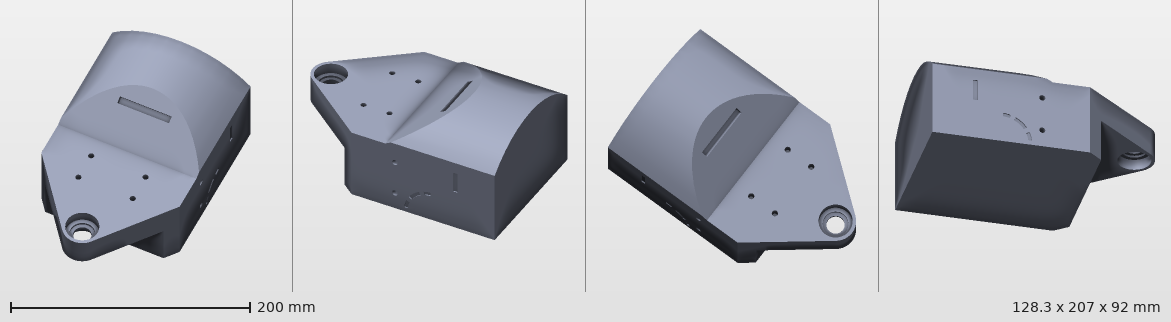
import cadquery as cq
import math


width = 128.3
length = 207.0
height = 92.0
deck_height = 64.0
side_height = 66.8
shoulder_y = 54.0
slope_foot_y = 86.0
slope_angle = 29.6

nose_radius = 17.2
arm_thickness = 25.7
step_y = 42.2

bore_diameter = 15.3
shoulder_diameter = 21.5
seat_diameter = 28.5
seat_depth = 9.7
shoulder_depth = 11.5

hole_diameter = 5.2
deck_hole_depth = 10.3
deck_hole_spacing_x = 50.5
deck_hole_rows_y = (44.5, 69.1)
cross_hole_y = 95.2
cross_hole_heights = (15.7, 47.4)

slope_slot_length = 48.0
slope_slot_width = 6.0
slope_slot_depth = 4.5
slope_slot_y = 119.0

mark_depth = 1.0
bar_width = 4.1
bar_height = 19.5
bar_y = 152.7
bar_z = 46.5
arc_center_y = 130.0
arc_center_z = 1.7
arc_inner_radius = 22.8
arc_outer_radius = 26.0
arc_spans = ((6.0, 23.5), (34.0, 62.5), (73.0, 87.5))

half_width = width / 2
back_y = length - nose_radius
arm_bottom = deck_height - arm_thickness


def plan_outline():
    """Plan of the body: a rectangle whose tapered front runs tangent into the round nose."""
    shoulder_distance = math.hypot(half_width, shoulder_y)
    tangent_angle = math.atan2(shoulder_y, half_width) - math.acos(nose_radius / shoulder_distance)
    tangent_x = nose_radius * math.cos(tangent_angle)
    tangent_y = nose_radius * math.sin(tangent_angle)
    return (
        cq.Workplane("XY")
        .moveTo(-half_width, back_y)
        .lineTo(-half_width, shoulder_y)
        .lineTo(-tangent_x, tangent_y)
        .threePointArc((0, -nose_radius), (tangent_x, tangent_y))
        .lineTo(half_width, shoulder_y)
        .lineTo(half_width, back_y)
        .close()
    )


def roof_prism():
    """Cross-section with the curved roof, running the full length."""
    return (
        cq.Workplane("XZ", origin=(0, back_y, 0))
        .moveTo(-half_width, 0)
        .lineTo(-half_width, side_height)
        .threePointArc((0, height), (half_width, side_height))
        .lineTo(half_width, 0)
        .close()
        .extrude(length)
    )


def side_prism():
    """Side profile with the sloped face, the deck and the arm, running the full width."""
    slope_run = (height - deck_height) / math.tan(math.radians(slope_angle))
    return (
        cq.Workplane("YZ")
        .moveTo(back_y, 0)
        .lineTo(back_y, height)
        .lineTo(slope_foot_y + slope_run, height)
        .lineTo(slope_foot_y, deck_height)
        .lineTo(-nose_radius, deck_height)
        .lineTo(-nose_radius, arm_bottom)
        .lineTo(step_y, arm_bottom)
        .lineTo(step_y, 0)
        .close()
        .extrude(half_width, both=True)
    )


def cylinder(diameter, bottom, top):
    """Cylinder on the bearing axis between two heights."""
    return cq.Workplane("XY", origin=(0, 0, bottom)).circle(diameter / 2).extrude(top - bottom)


def bearing_bore():
    bore = cylinder(bore_diameter, arm_bottom, deck_height)
    for diameter, depth in ((shoulder_diameter, shoulder_depth), (seat_diameter, seat_depth)):
        bore = bore.union(cylinder(diameter, deck_height - depth, deck_height))
        bore = bore.union(cylinder(diameter, arm_bottom, arm_bottom + depth))
    return bore


def deck_holes():
    points = [(side * deck_hole_spacing_x / 2, y) for side in (-1, 1) for y in deck_hole_rows_y]
    return (
        cq.Workplane("XY", origin=(0, 0, deck_height))
        .pushPoints(points)
        .circle(hole_diameter / 2)
        .extrude(-deck_hole_depth)
    )


def cross_holes():
    return (
        cq.Workplane("YZ")
        .pushPoints([(cross_hole_y, z) for z in cross_hole_heights])
        .circle(hole_diameter / 2)
        .extrude(half_width, both=True)
    )


def slope_slot():
    """Slot cut square to the sloped face."""
    angle = math.radians(slope_angle)
    slot_z = deck_height + (slope_slot_y - slope_foot_y) * math.tan(angle)
    face = cq.Plane(
        origin=(0, slope_slot_y, slot_z),
        xDir=(1, 0, 0),
        normal=(0, -math.sin(angle), math.cos(angle)),
    )
    return cq.Workplane(face).rect(slope_slot_length, slope_slot_width).extrude(-slope_slot_depth)


def arc_mark(wall, start, end):
    """Curved mark between two angles, measured upwards from the forward (-Y) direction."""

    def point(radius, degrees):
        angle = math.radians(degrees)
        return (arc_center_y - radius * math.cos(angle), arc_center_z + radius * math.sin(angle))

    middle = (start + end) / 2
    return (
        wall.moveTo(*point(arc_inner_radius, start))
        .lineTo(*point(arc_outer_radius, start))
        .threePointArc(point(arc_outer_radius, middle), point(arc_outer_radius, end))
        .lineTo(*point(arc_inner_radius, end))
        .threePointArc(point(arc_inner_radius, middle), point(arc_inner_radius, start))
        .close()
        .extrude(mark_depth)
    )


def side_marks():
    """Bar and broken arc sunk into the -X wall."""
    wall = cq.Workplane("YZ", origin=(-half_width, 0, 0))
    marks = wall.center(bar_y, bar_z).rect(bar_width, bar_height).extrude(mark_depth)
    for start, end in arc_spans:
        marks = marks.union(arc_mark(wall, start, end))
    return marks


body = plan_outline().extrude(height).intersect(roof_prism()).intersect(side_prism())
left_marks = side_marks()
right_marks = left_marks.mirror("YZ")

result = body
for cutter in (bearing_bore(), deck_holes(), cross_holes(), slope_slot(), left_marks, right_marks):
    result = result.cut(cutter)